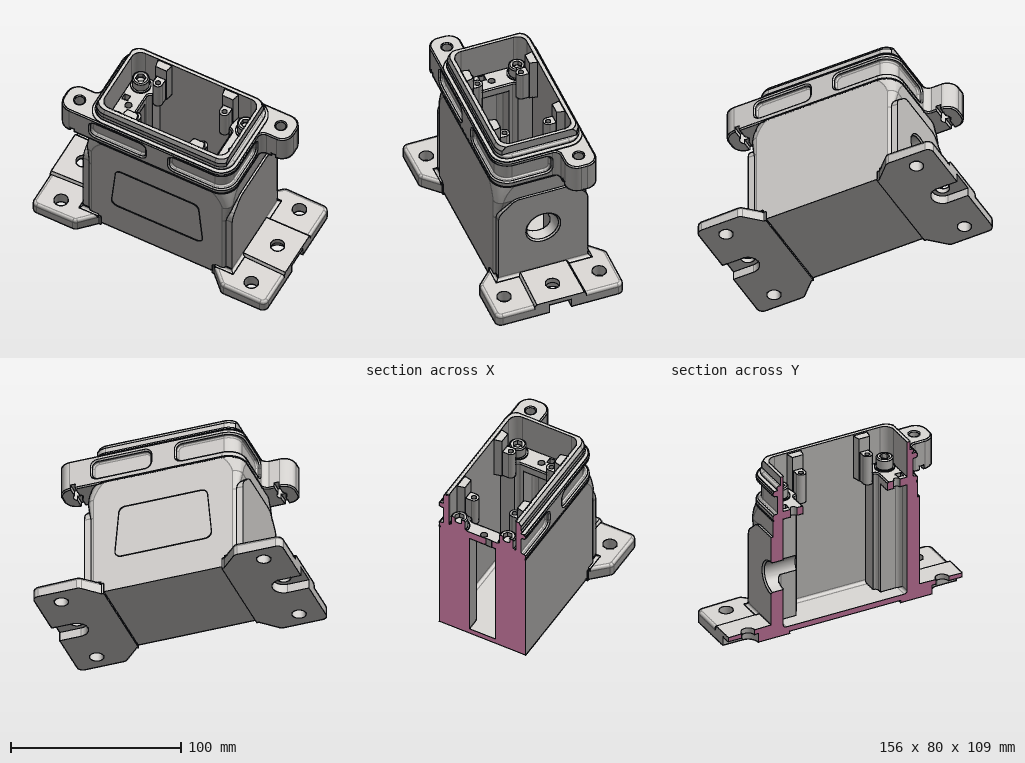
import cadquery as cq
import math

TOLERANCE = 0.2

LENGTH = 156.0
WIDTH = 80.0
HEIGHT = 109.0

BODY_HALF_X = 46.0
BODY_HALF_Y = 29.2
BODY_CORNER = 2.5
BODY_BOTTOM = 1.5
SHOULDER_BOTTOM = 55.7
SHOULDER_TOP = 68.6
SHOULDER_CORNER = 4.7
SHOULDER_WAIST = 74.5
SHOULDER_WAIST_CORNER = 7.0

COLLAR_HALF_X = 48.2
COLLAR_HALF_Y = BODY_HALF_Y
COLLAR_CORNER = 11.2
COLLAR_BOTTOM = 80.0
COLLAR_TOP = 100.0
COLLAR_EDGE = 0.8

LUG_X = 56.5
LUG_END_X = 66.0
LUG_WIDTH = 19.0
LUG_CORNER = 7.5
LUG_Y = COLLAR_HALF_Y - LUG_WIDTH / 2
LUG_BLEND = 3.7
LUG_HOLE = 6.0
LUG_HOLE_MOUTH = 7.2
LUG_NOTCH_WIDTH = 3.0
LUG_NOTCH_HEIGHT = 3.1

WINDOW_DEPTH = 3.0
WINDOW_BOTTOM = 84.4
WINDOW_TOP = 96.5
WINDOW_CORNER = 3.7
WINDOW_NEAR_X = 8.0
WINDOW_FAR_X = 44.6
WINDOW_END_Y = 5.8
WINDOW_EDGE = 1.0

RIM_OFFSET = 3.0
RIM_HALF_X = 43.2
RIM_CHAMFER_Y = 1.4
RIM_CHAMFER_Z = 2.7
BEAD_OFFSET = 2.3
BEAD_BOTTOM = 100.5
LAND_OFFSET = 0.6
BEAD_TOP = 103.5

CAVITY_HALF_X = 41.2
CAVITY_HALF_Y = 22.5
CAVITY_CORNER = 6.0
FLOOR_FILLET = 1.9
FLOOR_Z = 5.5
LEDGE_TOP = 85.2
LEDGE_BOTTOM = 79.5
OPENING_HALF_X = 28.1
OPENING_EDGE = 0.8
OPENING_HALF_Y = 13.1
OPENING_CORNER = 2.3
OPENING_WIDE_HALF_X = 25.6

PILLAR_X = 22.2
PILLAR_Y = 13.7
PILLAR_WIDTH = 6.0
PILLAR_TOP = 98.9
PILLAR_HOLE = 3.0
PILLAR_HOLE_DEPTH = 9.4
WEDGE_Y = 17.6
WEDGE_TOP = 108.1
WEDGE_INNER_HALF = 3.6
WEDGE_OUTER_HALF = 4.7

SCREW_X = 35.0
SCREW_Y = 16.2
SCREW_TOP = 92.7
SCREW_HEAD = 10.0
SCREW_FACE = 8.5
SCREW_SEAT = 12.0
SEAT_HEIGHT = 0.8
SOCKET = 6.0
SOCKET_DEPTH = 3.1
SOCKET_POINT = 5.0
LEDGE_HOLE_X = 34.5
LEDGE_HOLE = 4.0
SQUARE_HOLE_X = 38.4
SQUARE_HOLE_Y = 4.4
SQUARE_HOLE = 3.7
DRILL_SLOPE = 30

ENTRY_FACE_X = 49.6
ENTRY_HALF_Y = 28.1
ENTRY_TOP = 69.5
ENTRY_SLOPE_Y = 17.6
ENTRY_SLOPE_Z = 60.0
ENTRY_BLEND = 7.8
ENTRY_Z = 41.7
ENTRY_HOLE = 20.0
ENTRY_MOUTH = 22.0
CHANNEL_HALF_Y = 8.6
CHANNEL_CORNER = 3.0

PLATE_BOTTOM = 24.6
PLATE_TOP = 59.7
PLATE_HALF_BOTTOM = 30.5
PLATE_HALF_TOP = 27.5
PLATE_CORNER = 4.0
PLATE_DEPTH = 0.5

FOOT_INNER_X = 37.0
FOOT_SLOPE_X = 48.7
FOOT_NECK_Y = 29.6
FOOT_CORNER = 3.7
FOOT_EDGE = 1.9
PAD_HEIGHT_END = 7.5
PAD_HEIGHT_ROOT = 8.5
STRIP_RISE = 1.5
STRIP_HALF_TOP = 14.2
STRIP_HALF_BASE = 16.2
FOOT_HOLE = 8.5
PAD_HOLE_X = 63.3
PAD_HOLE_Y = 30.0
STRIP_HOLE_X = 64.7
SLOT_WIDTH = 13.7
SLOT_HEIGHT = 6.0
ROOT_FILLET = 1.7
SKIRT_HALF_Y = 28.5


def block(x0, x1, y0, y1, z0, z1):
    """Box between two opposite corners."""
    return cq.Workplane("XY").box(x1 - x0, y1 - y0, z1 - z0, centered=False).translate((x0, y0, z0))


def rounded_block(half_x, half_y, corner, z0, z1):
    """Upright block centred on Z with rounded vertical edges."""
    return block(-half_x, half_x, -half_y, half_y, z0, z1).edges("|Z").fillet(corner)


def cylinder(x, y, diameter, z0, z1):
    return cq.Workplane("XY").center(x, y).circle(diameter / 2).extrude(z1 - z0).translate((0, 0, z0))


def drill_point(x, y, diameter, z):
    """Cone pointing down from height z, as a drill leaves at the end of a hole."""
    radius = diameter / 2
    depth = radius * math.tan(math.radians(DRILL_SLOPE))
    cone = cq.Solid.makeCone(radius, 0, depth, cq.Vector(x, y, z), cq.Vector(0, 0, -1))
    return cq.Workplane("XY").add(cone)


def rounded_section(half_x, half_y, corner, z):
    sketch = cq.Sketch().rect(2 * half_x, 2 * half_y).vertices().fillet(corner)
    return sketch.moved(cq.Location(cq.Vector(0, 0, z)))


def loft(lower, upper):
    return cq.Workplane("XY").placeSketch(lower, upper).loft(ruled=True)


def half_turn(shape):
    return shape.rotate((0, 0, 0), (0, 0, 1), 180)


def four_corners(shape):
    """The shape together with its mirror images across both vertical mid planes."""
    pair = shape.union(shape.mirror("YZ"))
    return pair.union(pair.mirror("XZ"))


def make_body():
    """Box-shaped lower part that swells into the rounder collar outline."""
    lower = rounded_block(BODY_HALF_X, BODY_HALF_Y, BODY_CORNER, BODY_BOTTOM, SHOULDER_BOTTOM)
    foot_of_shoulder = rounded_section(BODY_HALF_X, BODY_HALF_Y, BODY_CORNER, SHOULDER_BOTTOM)
    curve = [
        rounded_section(COLLAR_HALF_X, BODY_HALF_Y, SHOULDER_CORNER, SHOULDER_TOP),
        rounded_section(COLLAR_HALF_X, BODY_HALF_Y, SHOULDER_WAIST_CORNER, SHOULDER_WAIST),
        rounded_section(COLLAR_HALF_X, COLLAR_HALF_Y, COLLAR_CORNER, COLLAR_BOTTOM),
    ]
    flare = cq.Workplane("XY").placeSketch(*curve).loft(ruled=False)
    return lower.union(loft(foot_of_shoulder, curve[0])).union(flare)


def make_entry_plates():
    """Flat plates with sloped shoulders on both ends of the body."""
    outline = [
        (-ENTRY_HALF_Y, BODY_BOTTOM),
        (-ENTRY_HALF_Y, ENTRY_SLOPE_Z),
        (-ENTRY_SLOPE_Y, ENTRY_TOP),
        (ENTRY_SLOPE_Y, ENTRY_TOP),
        (ENTRY_HALF_Y, ENTRY_SLOPE_Z),
        (ENTRY_HALF_Y, BODY_BOTTOM),
    ]
    plate = cq.Workplane("YZ").polyline(outline).close().extrude(ENTRY_FACE_X, both=True)
    return plate.edges("|X and (not <Z)").fillet(ENTRY_BLEND)


def make_name_plate():
    """Shallow recess on the long wall facing -Y."""
    outline = [
        (-PLATE_HALF_BOTTOM, PLATE_BOTTOM),
        (PLATE_HALF_BOTTOM, PLATE_BOTTOM),
        (PLATE_HALF_TOP, PLATE_TOP),
        (-PLATE_HALF_TOP, PLATE_TOP),
    ]
    recess = cq.Workplane("XZ").polyline(outline).close().extrude(PLATE_DEPTH)
    return recess.edges("|Y").fillet(PLATE_CORNER).translate((0, PLATE_DEPTH - BODY_HALF_Y, 0))


def make_lug():
    """Lug on the +X end, flush with the +Y wall of the collar."""
    inner_y = COLLAR_HALF_Y - LUG_WIDTH
    lug = block(0, LUG_END_X, inner_y, COLLAR_HALF_Y, COLLAR_BOTTOM, COLLAR_TOP)
    return lug.edges("|Z and >X").fillet(LUG_CORNER)


def make_windows():
    """Short window and corner window of the -Y wall; the +Y wall repeats them turned half round."""
    def front(x0, x1, depth):
        slot = block(x0, x1, -COLLAR_HALF_Y, depth - COLLAR_HALF_Y, WINDOW_BOTTOM, WINDOW_TOP)
        return slot.edges("|Y").fillet(WINDOW_CORNER)

    short = front(-WINDOW_FAR_X, -WINDOW_NEAR_X, WINDOW_DEPTH)

    side = block(0, LENGTH, -LENGTH, WINDOW_END_Y, WINDOW_BOTTOM, WINDOW_TOP)
    side = side.edges("|X").fillet(WINDOW_CORNER)
    side = side.intersect(block(COLLAR_HALF_X - COLLAR_CORNER, LENGTH, -LENGTH, LENGTH, 0, HEIGHT))
    reach = front(WINDOW_NEAR_X, LENGTH, COLLAR_CORNER)
    core = rounded_block(
        COLLAR_HALF_X - WINDOW_DEPTH,
        COLLAR_HALF_Y - WINDOW_DEPTH,
        COLLAR_CORNER - WINDOW_DEPTH,
        COLLAR_BOTTOM,
        COLLAR_TOP,
    )
    corner = reach.union(side).cut(core)
    pair = short.union(corner)
    return pair.union(half_turn(pair))


def window_edges(collar, depth):
    """Window edges that lie at the given depth below the outer surface of the collar."""
    half_x = COLLAR_HALF_X - depth
    half_y = COLLAR_HALF_Y - depth
    corner = COLLAR_CORNER - depth

    def at_depth(edge):
        box = edge.BoundingBox()
        inside_height = box.zmin > WINDOW_BOTTOM - TOLERANCE and box.zmax < WINDOW_TOP + TOLERANCE
        middle = edge.positionAt(0.5)
        x = max(abs(middle.x) - half_x + corner, 0)
        y = max(abs(middle.y) - half_y + corner, 0)
        on_wall = abs(abs(middle.y) - half_y) < TOLERANCE
        on_outline = abs(math.hypot(x, y) - corner) < TOLERANCE
        is_seam = box.zlen > WINDOW_TOP - WINDOW_BOTTOM - TOLERANCE
        return inside_height and (on_wall or on_outline) and not is_seam

    return collar.edges().filter(at_depth)


def make_collar():
    collar = rounded_block(COLLAR_HALF_X, COLLAR_HALF_Y, COLLAR_CORNER, COLLAR_BOTTOM, COLLAR_TOP)
    lug = make_lug()
    collar = collar.union(lug).union(half_turn(lug)).clean()
    root_x = COLLAR_HALF_X
    root_y = COLLAR_HALF_Y - LUG_WIDTH
    for side in (1, -1):
        root = (side * root_x, side * root_y, COLLAR_BOTTOM)
        collar = collar.edges("|Z").edges(cq.NearestToPointSelector(root)).fillet(LUG_BLEND)
    collar = collar.faces("<Z or >Z").edges().chamfer(COLLAR_EDGE)
    collar = collar.cut(make_windows())
    collar = window_edges(collar, WINDOW_DEPTH).fillet(WINDOW_EDGE)
    collar = window_edges(collar, 0).chamfer(WINDOW_EDGE)
    for side in (1, -1):
        x = side * LUG_X
        y = side * LUG_Y
        collar = collar.cut(cylinder(x, y, LUG_HOLE, COLLAR_BOTTOM, COLLAR_TOP))
        hole = collar.faces(">Z").edges(cq.NearestToPointSelector((x, y, COLLAR_TOP)))
        collar = hole.chamfer((LUG_HOLE_MOUTH - LUG_HOLE) / 2)
        notch = block(
            x - LUG_NOTCH_WIDTH / 2,
            x + LUG_NOTCH_WIDTH / 2,
            -COLLAR_HALF_Y,
            COLLAR_HALF_Y,
            COLLAR_BOTTOM,
            COLLAR_BOTTOM + LUG_NOTCH_HEIGHT,
        )
        collar = collar.cut(notch)
    return collar


def make_rim():
    """Bevelled rim with flattened ends and, at its foot, a round sealing bead on a low land."""
    half_y = COLLAR_HALF_Y - RIM_OFFSET
    rim = rounded_block(COLLAR_HALF_X - RIM_OFFSET, half_y, COLLAR_CORNER - RIM_OFFSET, COLLAR_TOP, HEIGHT)
    rim = rim.faces(">Z").edges().chamfer(RIM_CHAMFER_Z, RIM_CHAMFER_Y)
    rim = rim.intersect(block(-RIM_HALF_X, RIM_HALF_X, -half_y, half_y, COLLAR_TOP, HEIGHT))

    bead_radius = (BEAD_TOP - BEAD_BOTTOM) / 2
    inset = BEAD_OFFSET + bead_radius
    ring_x = COLLAR_HALF_X - inset
    ring_y = COLLAR_HALF_Y - inset
    bead_z = BEAD_BOTTOM + bead_radius
    seat = rounded_block(ring_x, ring_y, COLLAR_CORNER - inset, COLLAR_TOP, bead_z)
    ring = seat.faces(">Z").wires().val()
    start = ring.startPoint()
    profile = cq.Workplane(cq.Plane(start, (0, 0, 1), ring.tangentAt(0))).circle(bead_radius)
    bead = profile.sweep(cq.Workplane(ring), transition="round")
    core = rounded_block(ring_x, ring_y, COLLAR_CORNER - inset, COLLAR_TOP, BEAD_TOP)
    bead = bead.union(core)
    land = rounded_block(
        COLLAR_HALF_X - LAND_OFFSET,
        COLLAR_HALF_Y - LAND_OFFSET,
        COLLAR_CORNER - LAND_OFFSET,
        COLLAR_TOP,
        BEAD_BOTTOM,
    )
    return rim.union(bead).union(land)


def make_cavity():
    """Open pocket with a rounded floor edge."""
    pocket = rounded_block(CAVITY_HALF_X, CAVITY_HALF_Y, CAVITY_CORNER, FLOOR_Z, HEIGHT)
    return pocket.faces("<Z").edges().fillet(FLOOR_FILLET)


def make_ledges():
    """Thick ledges across both ends, with screws and small holes, and a cable channel beneath."""
    ledge = block(-CAVITY_HALF_X, CAVITY_HALF_X, -CAVITY_HALF_Y, CAVITY_HALF_Y, FLOOR_Z, LEDGE_TOP)
    ledge = ledge.cut(rounded_block(OPENING_HALF_X, OPENING_HALF_Y, OPENING_CORNER, FLOOR_Z, LEDGE_TOP))
    ends = cq.selectors.BoxSelector(
        (-OPENING_HALF_X - TOLERANCE, -OPENING_HALF_Y + TOLERANCE, LEDGE_TOP - TOLERANCE),
        (OPENING_HALF_X + TOLERANCE, OPENING_HALF_Y - TOLERANCE, LEDGE_TOP + TOLERANCE),
    )
    ledge = ledge.edges(ends).edges("not |X").chamfer(OPENING_EDGE)
    half = OPENING_WIDE_HALF_X
    ledge = ledge.cut(block(-half, half, -CAVITY_HALF_Y, CAVITY_HALF_Y, FLOOR_Z, LEDGE_TOP))
    ledge = ledge.cut(rounded_block(CAVITY_HALF_X, CHANNEL_HALF_Y, CHANNEL_CORNER, FLOOR_Z, LEDGE_BOTTOM))
    for side in (1, -1):
        ledge = ledge.cut(cylinder(side * LEDGE_HOLE_X, 0, LEDGE_HOLE, LEDGE_BOTTOM, LEDGE_TOP))
        square = cq.Workplane("XY").rect(SQUARE_HOLE, SQUARE_HOLE).extrude(LEDGE_TOP - LEDGE_BOTTOM)
        ledge = ledge.cut(square.translate((side * SQUARE_HOLE_X, SQUARE_HOLE_Y, LEDGE_BOTTOM)))
    return ledge.union(four_corners(make_screw()))


def make_screw():
    seat_top = LEDGE_TOP + SEAT_HEIGHT
    seat = cylinder(SCREW_X, SCREW_Y, SCREW_SEAT, LEDGE_BOTTOM, seat_top)
    head = cylinder(SCREW_X, SCREW_Y, SCREW_HEAD, seat_top, SCREW_TOP)
    head = head.faces(">Z").edges().chamfer((SCREW_HEAD - SCREW_FACE) / 2)
    socket_floor = SCREW_TOP - SOCKET_DEPTH
    socket = cq.Workplane("XY").polygon(6, SOCKET).extrude(SOCKET_DEPTH).rotate((0, 0, 0), (0, 0, 1), 90)
    screw = seat.union(head).cut(socket.translate((SCREW_X, SCREW_Y, socket_floor)))
    return screw.cut(drill_point(SCREW_X, SCREW_Y, SOCKET_POINT, socket_floor))


def make_pillar():
    """Drilled pillar carried by a tapered rib on the long wall."""
    pillar = cylinder(PILLAR_X, PILLAR_Y, PILLAR_WIDTH, LEDGE_BOTTOM, PILLAR_TOP)
    half = PILLAR_WIDTH / 2
    pillar = pillar.union(
        block(PILLAR_X - half, PILLAR_X + half, PILLAR_Y, CAVITY_HALF_Y, LEDGE_BOTTOM, PILLAR_TOP)
    )
    outline = [
        (PILLAR_X - WEDGE_INNER_HALF, WEDGE_Y),
        (PILLAR_X + WEDGE_INNER_HALF, WEDGE_Y),
        (PILLAR_X + WEDGE_OUTER_HALF, CAVITY_HALF_Y),
        (PILLAR_X - WEDGE_OUTER_HALF, CAVITY_HALF_Y),
    ]
    wedge = cq.Workplane("XY").polyline(outline).close().extrude(WEDGE_TOP - LEDGE_BOTTOM)
    pillar = pillar.union(wedge.translate((0, 0, LEDGE_BOTTOM)))
    hole_floor = PILLAR_TOP - PILLAR_HOLE_DEPTH
    pillar = pillar.cut(cylinder(PILLAR_X, PILLAR_Y, PILLAR_HOLE, hole_floor, PILLAR_TOP))
    return pillar.cut(drill_point(PILLAR_X, PILLAR_Y, PILLAR_HOLE, hole_floor))


def make_entry_hole():
    """Chamfered hole through the -X wall."""
    hole = cq.Workplane("YZ").center(0, ENTRY_Z).circle(ENTRY_HOLE / 2)
    hole = hole.extrude(ENTRY_FACE_X - OPENING_HALF_X).translate((-ENTRY_FACE_X, 0, 0))
    chamfer = (ENTRY_MOUTH - ENTRY_HOLE) / 2
    start = cq.Vector(-ENTRY_FACE_X, 0, ENTRY_Z)
    mouth = cq.Solid.makeCone(ENTRY_MOUTH / 2, ENTRY_HOLE / 2, chamfer, start, cq.Vector(1, 0, 0))
    return hole.union(cq.Workplane("XY").add(mouth))


def sloped_slab(end_height, root_height):
    """Slab under the +X foot whose top rises towards the body."""
    profile = [
        (FOOT_INNER_X, 0),
        (LENGTH / 2, 0),
        (LENGTH / 2, end_height),
        (FOOT_INNER_X, root_height),
    ]
    return cq.Workplane("XZ").polyline(profile).close().extrude(WIDTH / 2, both=True)


def make_root_skirt():
    """Concave fillet where the +X entry plate and the side walls meet the pads."""
    slab = block(0, LENGTH, -WIDTH, WIDTH, SLOT_HEIGHT, PAD_HEIGHT_ROOT)
    wall = block(0, ENTRY_FACE_X, -SKIRT_HALF_Y, SKIRT_HALF_Y, SLOT_HEIGHT, HEIGHT)
    joint = cq.selectors.BoxSelector(
        (TOLERANCE, -WIDTH + TOLERANCE, PAD_HEIGHT_ROOT - TOLERANCE),
        (ENTRY_FACE_X + TOLERANCE, WIDTH - TOLERANCE, PAD_HEIGHT_ROOT + TOLERANCE),
    )
    skirt = slab.union(wall).edges(joint).fillet(ROOT_FILLET)
    reach_y = SKIRT_HALF_Y + ROOT_FILLET
    reach_x = ENTRY_FACE_X + ROOT_FILLET
    top = PAD_HEIGHT_ROOT + ROOT_FILLET
    return skirt.intersect(block(FOOT_INNER_X + FOOT_EDGE, reach_x, -reach_y, reach_y, SLOT_HEIGHT, top))


def make_foot():
    """Foot on the +X end: two low pads beside a raised middle strip."""
    end = LENGTH / 2
    edge = WIDTH / 2
    plan = [
        (FOOT_INNER_X, FOOT_NECK_Y),
        (FOOT_SLOPE_X - (edge - FOOT_NECK_Y), FOOT_NECK_Y),
        (FOOT_SLOPE_X, edge),
        (end, edge),
        (end, -edge),
        (FOOT_SLOPE_X, -edge),
        (FOOT_SLOPE_X - (edge - FOOT_NECK_Y), -FOOT_NECK_Y),
        (FOOT_INNER_X, -FOOT_NECK_Y),
    ]
    outline = cq.Workplane("XY").polyline(plan).close().extrude(HEIGHT)
    outline = outline.edges("|Z and (>Y or <Y)").fillet(FOOT_CORNER)
    pads = outline.intersect(sloped_slab(PAD_HEIGHT_END, PAD_HEIGHT_ROOT))
    pads = pads.faces(">Z").edges().fillet(FOOT_EDGE)

    section = [
        (-STRIP_HALF_BASE, 0),
        (-STRIP_HALF_BASE, PAD_HEIGHT_END),
        (-STRIP_HALF_TOP, PAD_HEIGHT_ROOT + STRIP_RISE),
        (STRIP_HALF_TOP, PAD_HEIGHT_ROOT + STRIP_RISE),
        (STRIP_HALF_BASE, PAD_HEIGHT_END),
        (STRIP_HALF_BASE, 0),
    ]
    strip = cq.Workplane("YZ").polyline(section).close().extrude(end)
    foot = pads.union(strip.intersect(sloped_slab(PAD_HEIGHT_END + STRIP_RISE, PAD_HEIGHT_ROOT + STRIP_RISE)))

    foot = foot.union(make_root_skirt().intersect(outline))
    for y in (PAD_HOLE_Y, -PAD_HOLE_Y):
        foot = foot.cut(cylinder(PAD_HOLE_X, y, FOOT_HOLE, 0, HEIGHT))
    foot = foot.cut(cylinder(STRIP_HOLE_X, 0, FOOT_HOLE, 0, HEIGHT))
    foot = foot.cut(cylinder(STRIP_HOLE_X, 0, SLOT_WIDTH, 0, SLOT_HEIGHT))
    half = SLOT_WIDTH / 2
    return foot.cut(block(STRIP_HOLE_X, end, -half, half, 0, SLOT_HEIGHT))


foot = make_foot()
shell = make_body().union(make_entry_plates()).union(foot).union(foot.mirror("YZ"))
shell = shell.union(make_collar()).union(make_rim())
shell = shell.cut(make_name_plate()).cut(make_cavity())
shell = shell.union(make_ledges().intersect(make_cavity()))
shell = shell.union(four_corners(make_pillar()))
result = shell.cut(make_entry_hole())